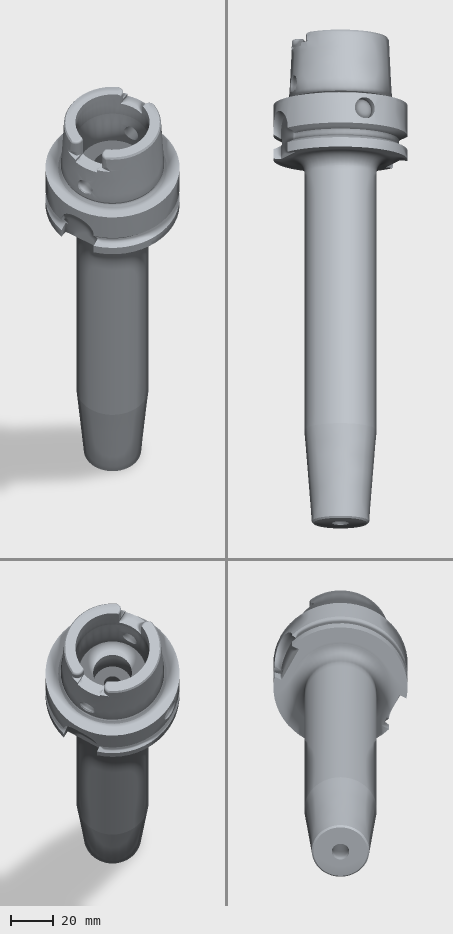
import cadquery as cq
import math


shank_top = 31.9
nose_bottom = -200.0

flange_radius = 31.5
flange_height = 26.0
groove_radius = 27.5
groove_centre_z = -18.0
groove_half_opening = 3.5
groove_half_floor = 1.4

taper_ratio = 0.1
taper_base_z = 2.2
taper_base_radius = 24.3
taper_top_radius = taper_base_radius - taper_ratio / 2 * (shank_top - taper_base_z)
rim_chamfer_height = 1.0
rim_chamfer_width = 0.6
neck_radius = 23.7
neck_top_z = 1.8
collar_radius = 24.4
collar_top_z = 0.8
collar_base_radius = 25.5

stem_radius = 17.0
stem_fillet = 6.0
nose_radius = 13.5
nose_half_angle = 4.5
nose_length = (stem_radius - nose_radius) / math.tan(math.radians(nose_half_angle))
nose_chamfer = 0.8

cavity_radius = 17.4
cavity_step_z = 18.4
cavity_floor_radius = 16.0
cavity_floor_z = 1.0
socket_radius = 9.1
socket_floor_z = -13.0
through_radius = 4.1

slot_half_width = 6.0
slot_flare_radius = 3.2
slot_flat_y = 20.7
slot_ledge_height = 1.5
slot_edge_fillet = 1.2
front_slot_floor_z = 21.3
rear_slot_floor_z = 25.9
foot_half_width = 12.4
foot_flat_y = 20.0
foot_height = 2.4
foot_end_slope = 2.0

access_z = 8.5
access_radius = 3.8
access_chamfer = 0.6

keyway_half_width = 9.0
keyway_arc_z = -14.0
keyway_flat_y = 26.5
carrier_radius = 5.0
carrier_z = -7.0
carrier_floor_x = 26.5


def turned_body():
    """Outer contour of shank, flange, stem and nose."""
    front_half_plane = cq.Plane(origin=(0, 0, 0), xDir=(0, -1, 0), normal=(-1, 0, 0))
    fillet_mid = stem_fillet * (1 - math.sqrt(0.5))
    return (
        cq.Workplane(front_half_plane)
        .moveTo(0, nose_bottom)
        .lineTo(nose_radius - nose_chamfer, nose_bottom)
        .lineTo(nose_radius, nose_bottom + nose_chamfer)
        .lineTo(stem_radius, nose_bottom + nose_length)
        .lineTo(stem_radius, -flange_height - stem_fillet)
        .threePointArc(
            (stem_radius + fillet_mid, -flange_height - fillet_mid),
            (stem_radius + stem_fillet, -flange_height),
        )
        .lineTo(flange_radius, -flange_height)
        .lineTo(flange_radius, groove_centre_z - groove_half_opening)
        .lineTo(groove_radius, groove_centre_z - groove_half_floor)
        .lineTo(groove_radius, groove_centre_z + groove_half_floor)
        .lineTo(flange_radius, groove_centre_z + groove_half_opening)
        .lineTo(flange_radius, 0)
        .lineTo(collar_base_radius, 0)
        .lineTo(collar_radius, collar_top_z)
        .lineTo(neck_radius, collar_top_z)
        .lineTo(neck_radius, neck_top_z)
        .lineTo(taper_base_radius, taper_base_z)
        .lineTo(taper_top_radius, shank_top - rim_chamfer_height)
        .lineTo(taper_top_radius - rim_chamfer_width, shank_top)
        .lineTo(0, shank_top)
        .close()
        .revolve(360, (0, 0, 0), (0, 1, 0))
    )


def inner_bores():
    """Stepped cavity from the shank rim and the coolant hole through the whole length."""
    return (
        cq.Workplane("XZ")
        .moveTo(0, nose_bottom)
        .lineTo(through_radius, nose_bottom)
        .lineTo(through_radius, socket_floor_z)
        .lineTo(socket_radius, socket_floor_z)
        .lineTo(socket_radius, cavity_floor_z)
        .lineTo(cavity_floor_radius, cavity_floor_z)
        .lineTo(cavity_radius, cavity_step_z)
        .lineTo(cavity_radius, shank_top)
        .lineTo(0, shank_top)
        .close()
        .revolve(360, (0, 0, 0), (0, 1, 0))
    )


def slot_jaw(floor_z):
    """Solid left standing beside a slot towards +Y: a flared wall with a rounded top edge on a ledge."""
    flare_mid = slot_flare_radius * (1 - math.sqrt(0.5))
    flare_start_y = slot_flat_y - slot_flare_radius
    wall = (
        cq.Workplane("XY", origin=(0, 0, floor_z))
        .moveTo(slot_half_width, 0)
        .lineTo(slot_half_width, flare_start_y)
        .threePointArc(
            (slot_half_width + flare_mid, slot_flat_y - flare_mid),
            (slot_half_width + slot_flare_radius, slot_flat_y),
        )
        .lineTo(flange_radius, slot_flat_y)
        .lineTo(flange_radius, 0)
        .close()
        .extrude(shank_top - floor_z)
        .edges(cq.selectors.NearestToPointSelector((slot_half_width, flare_start_y / 2, shank_top)))
        .fillet(slot_edge_fillet)
    )
    ledge = (
        cq.Workplane("XY", origin=(slot_half_width, 0, floor_z))
        .rect(flange_radius - slot_half_width, flange_radius, centered=False)
        .extrude(slot_ledge_height)
    )
    return wall.union(ledge)


def drive_slot(floor_z):
    """Cutter for the slot through the rim on the +Y side."""
    jaw = slot_jaw(floor_z)
    block = (
        cq.Workplane("XY", origin=(0, 0, floor_z))
        .rect(2 * flange_radius, flange_radius)
        .extrude(shank_top - floor_z)
        .translate((0, flange_radius / 2, 0))
    )
    return block.cut(jaw).cut(jaw.mirror("YZ"))


def slot_foot():
    """Shallow flat relief widening the front slot just above its ledges."""
    foot_bottom_z = front_slot_floor_z + slot_ledge_height
    foot_top_z = foot_bottom_z + foot_height
    return (
        cq.Workplane("XZ", origin=(0, -foot_flat_y, 0))
        .moveTo(-foot_half_width, foot_bottom_z)
        .lineTo(foot_half_width, foot_bottom_z)
        .lineTo(foot_half_width - foot_end_slope, foot_top_z)
        .lineTo(foot_end_slope - foot_half_width, foot_top_z)
        .close()
        .extrude(flange_radius - foot_flat_y)
    )


def access_hole():
    """Cross hole along Y through both shank walls, countersunk where it leaves them."""
    outer_y = taper_base_radius - taper_ratio / 2 * (access_z - taper_base_z)
    hole = cq.Workplane("XZ", origin=(0, 0, access_z)).circle(access_radius).extrude(flange_radius, both=True)
    countersink = cq.Workplane(
        cq.Solid.makeCone(
            access_radius + access_chamfer,
            access_radius,
            access_chamfer,
            pnt=(0, -outer_y, access_z),
            dir=(0, 1, 0),
        )
    )
    return hole.union(countersink).union(countersink.mirror("XZ"))


def keyway(side):
    """Round-topped flat recess in the flange on the Y side given by the sign."""
    depth = flange_radius - keyway_flat_y
    bottom = -flange_height
    return (
        cq.Workplane("XZ", origin=(0, side * (keyway_flat_y + depth / 2), 0))
        .moveTo(-keyway_half_width, bottom)
        .lineTo(keyway_half_width, bottom)
        .lineTo(keyway_half_width, keyway_arc_z)
        .threePointArc((0, keyway_arc_z + keyway_half_width), (-keyway_half_width, keyway_arc_z))
        .close()
        .extrude(depth / 2, both=True)
    )


def carrier_hole():
    """Flat-bottomed blind hole in the -X side of the flange."""
    return (
        cq.Workplane("YZ", origin=(-flange_radius, 0, carrier_z))
        .circle(carrier_radius)
        .extrude(flange_radius - carrier_floor_x)
    )


body = turned_body().cut(inner_bores())
body = body.cut(drive_slot(rear_slot_floor_z))
body = body.cut(drive_slot(front_slot_floor_z).mirror("XZ"))
body = body.cut(slot_foot()).cut(access_hole())
for side in (-1, 1):
    body = body.cut(keyway(side))
result = body.cut(carrier_hole())